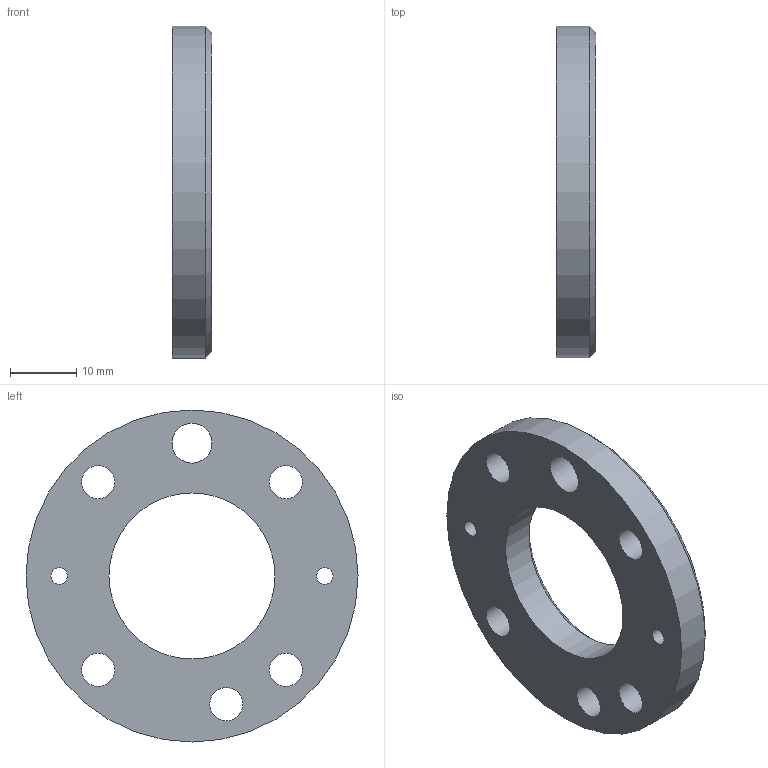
import cadquery as cq
import math

outer_diameter = 50.0
bore_diameter = 25.0
thickness = 6.0
edge_chamfer = 1.0

pitch_radius = 20.0
bolt_hole_diameter = 5.0
bolt_hole_angles = [45.0, 135.0, 225.0, 315.0]
pin_hole_diameter = 2.5
pin_hole_angles = [0.0, 180.0]
top_hole_diameter = 6.0
top_hole_angle = 90.0
offset_hole_diameter = 5.0
offset_hole_lean = 15.0
offset_hole_angle = 270.0 - offset_hole_lean


def make_ring():
    """Ring from X = 0 to X = thickness, its rim and bore both chamfered on the +X face."""
    ring = cq.Workplane("YZ").circle(outer_diameter / 2).circle(bore_diameter / 2).extrude(thickness)
    return ring.faces(">X").edges().chamfer(edge_chamfer)


def pitch_circle_point(angle):
    """(Y, Z) position on the pitch circle."""
    turn = math.radians(angle)
    return (pitch_radius * math.cos(turn), pitch_radius * math.sin(turn))


def cut_holes(body, diameter, angles):
    """Cut through holes of one diameter at the given pitch circle angles."""
    centres = [pitch_circle_point(angle) for angle in angles]
    drills = cq.Workplane("YZ").pushPoints(centres).circle(diameter / 2).extrude(thickness)
    return body.cut(drills)


result = make_ring()
result = cut_holes(result, bolt_hole_diameter, bolt_hole_angles)
result = cut_holes(result, pin_hole_diameter, pin_hole_angles)
result = cut_holes(result, top_hole_diameter, [top_hole_angle])
result = cut_holes(result, offset_hole_diameter, [offset_hole_angle])